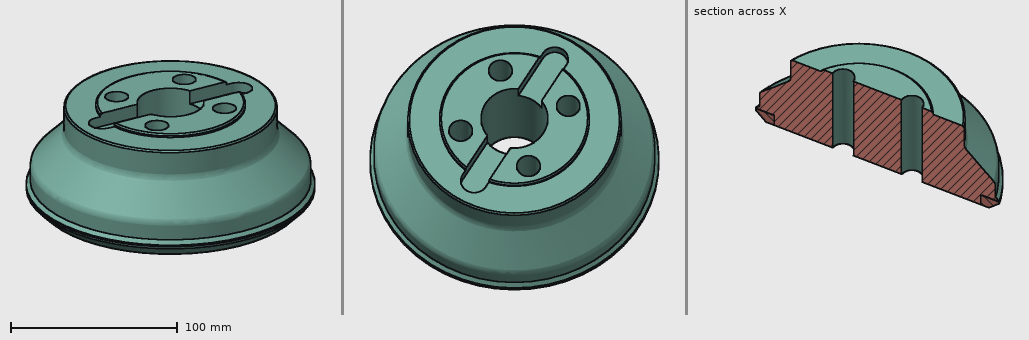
import cadquery as cq
import math

rim_diameter = 173.5
hub_diameter = 168.7
neck_diameter = 128.0
boss_diameter = 89.9
total_height = 63.0
boss_height = 2.0
top_face_height = total_height - boss_height

flank_bottom_height = 23.0
flank_top_height = flank_bottom_height + (hub_diameter - neck_diameter) / 2
flank_fillet = 5.0
edge_chamfer = 1.0

rim_radius = rim_diameter / 2
hub_radius = hub_diameter / 2
land_top_height = 9.2
land_bottom_height = 6.8
shoulder_top_height = land_top_height + rim_radius - hub_radius
ring_foot_radius = rim_radius - land_bottom_height

ring_height = 8.2
seat_radius = 74.6

bore_diameter = 40.0
bolt_hole_diameter = 14.0
bolt_hole_offset = 23.6
bolt_hole_count = 4
bolt_start_angle = 45
bolt_circle_radius = bolt_hole_offset * math.sqrt(2)
slot_width = 16.1
slot_length = 111.5
slot_depth = 8.7


def hub_blank():
    """Turned hub with a ring seat, a rim shoulder, a 45 degree flank, a neck and a low boss."""
    neck_radius = neck_diameter / 2
    profile = (
        cq.Workplane("XZ")
        .moveTo(0, 0)
        .lineTo(seat_radius, 0)
        .lineTo(seat_radius, ring_height)
        .lineTo(rim_radius, ring_height)
        .lineTo(rim_radius, land_top_height)
        .lineTo(hub_radius, shoulder_top_height)
        .lineTo(hub_radius, flank_bottom_height)
        .lineTo(neck_radius, flank_top_height)
        .lineTo(neck_radius, top_face_height)
        .lineTo(0, top_face_height)
        .close()
    )
    body = profile.revolve(360, (0, 0, 0), (0, 1, 0))
    for corner_height in (flank_bottom_height, flank_top_height):
        corner = cq.selectors.BoxSelector(
            (-rim_radius, -rim_radius, corner_height - edge_chamfer),
            (rim_radius, rim_radius, corner_height + edge_chamfer),
            boundingbox=True,
        )
        body = body.edges(corner).edges("%CIRCLE").fillet(flank_fillet)
    body = body.faces(">Z").edges().chamfer(edge_chamfer)
    boss = (
        cq.Workplane("XY", origin=(0, 0, top_face_height))
        .circle(boss_diameter / 2)
        .extrude(boss_height)
        .faces(">Z")
        .edges()
        .chamfer(edge_chamfer)
    )
    return body.union(boss)


def through_holes():
    """Central bore and the bolt holes around it."""
    bore = cq.Workplane("XY").circle(bore_diameter / 2).extrude(total_height)
    bolt_holes = (
        cq.Workplane("XY")
        .polarArray(bolt_circle_radius, bolt_start_angle, 360, bolt_hole_count)
        .circle(bolt_hole_diameter / 2)
        .extrude(total_height)
    )
    return bore.union(bolt_holes)


def drive_slot():
    """Round-ended slot along Y, sunk into the top of the hub."""
    return (
        cq.Workplane("XY", origin=(0, 0, total_height))
        .slot2D(slot_length, slot_width, 90)
        .extrude(-slot_depth)
    )


def make_hub():
    return hub_blank().cut(through_holes()).cut(drive_slot())


def make_abrasive_ring():
    """Undercut ring around the plug and flush with the rim of the hub."""
    return (
        cq.Workplane("XZ")
        .moveTo(seat_radius, 0)
        .lineTo(ring_foot_radius, 0)
        .lineTo(rim_radius, land_bottom_height)
        .lineTo(rim_radius, ring_height)
        .lineTo(seat_radius, ring_height)
        .close()
        .revolve(360, (0, 0, 0), (0, 1, 0))
    )


hub = make_hub()
abrasive_ring = make_abrasive_ring()

result = cq.Compound.makeCompound([hub.val(), abrasive_ring.val()])